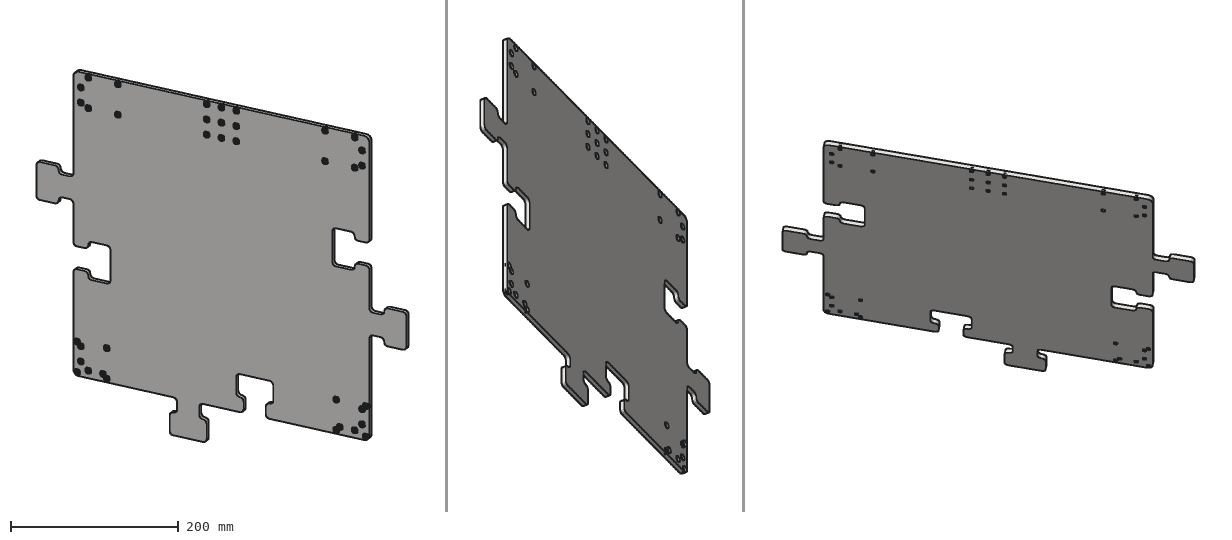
import cadquery as cq
import math

SIDE = 400.0
HALF = SIDE / 2
THICKNESS = 6.0
PLATE_CORNER_RADIUS = 7.5
JOINT_CORNER_RADIUS = 5.0
TOLERANCE = 5e-06

JOINT_DEPTH = 50.0
JOINT_OFFSET = 45.0
HEAD_WIDTH = 50.0
NECK_WIDTH = 30.0
NECK_LENGTH = 20.0

HOLE_DIAMETER = 4.5
COUNTERBORE_DIAMETER = 8.0
COUNTERBORE_DEPTH = 3.0

SIDE_PAIR = [(10, 20), (10, 40)]
TOP_CORNER_HOLES = SIDE_PAIR + [(x, z) for x in (20, 60) for z in (5, 45)]
BOTTOM_CORNER_HOLES = SIDE_PAIR + [(20, 10), (40, 10)] + [(x, z) for x in (5, 45) for z in (5, 45)]

GRID_COLUMNS = (-20, 0, 20)
GRID_TOP_DISTANCES = (5, 25, 45)


def joint_points(centre, direction):
    """Joint corners as (place along the edge, height above it).

    The direction is 1 for a tab and -1 for a socket.
    """
    neck = NECK_WIDTH / 2
    head = HEAD_WIDTH / 2
    step = direction * NECK_LENGTH
    end = direction * JOINT_DEPTH
    half = [(neck, 0), (neck, step), (head, step), (head, end)]
    points = [(centre - along, height) for along, height in half]
    points += [(centre + along, height) for along, height in reversed(half)]
    return points


def edge_points(tab_centre, socket_centre):
    """One plate edge carrying both joints, listed in order along the edge."""
    joints = [(tab_centre, 1), (socket_centre, -1)]
    points = []
    for centre, direction in sorted(joints):
        points += joint_points(centre, direction)
    return points


def plate_corners():
    """Sharp outline as (point, rounding radius), clockwise in (x, z) from the bottom left."""
    left = [(-HALF - out, z) for z, out in edge_points(JOINT_OFFSET, -JOINT_OFFSET)]
    right = [(HALF + out, z) for z, out in edge_points(-JOINT_OFFSET, JOINT_OFFSET)]
    bottom = [(x, -HALF - out) for x, out in edge_points(-JOINT_OFFSET, JOINT_OFFSET)]
    sides = [
        ((-HALF, -HALF), left),
        ((-HALF, HALF), []),
        ((HALF, HALF), right[::-1]),
        ((HALF, -HALF), bottom[::-1]),
    ]
    corners = []
    for plate_corner, joints in sides:
        corners.append((plate_corner, PLATE_CORNER_RADIUS))
        corners += [(point, JOINT_CORNER_RADIUS) for point in joints]
    return corners


def hole_places():
    """All hole centres in (x, z)."""
    places = [(x, HALF - depth) for x in GRID_COLUMNS for depth in GRID_TOP_DISTANCES]
    for side in (-1, 1):
        places += [(side * (HALF - x), HALF - z) for x, z in TOP_CORNER_HOLES]
        places += [(side * (HALF - x), z - HALF) for x, z in BOTTOM_CORNER_HOLES]
    return places


def shifted(start, target, distance):
    """The point reached from start by moving a distance straight toward target."""
    fraction = distance / math.dist(start, target)
    return tuple(s + fraction * (t - s) for s, t in zip(start, target))


def rounded_polygon(workplane, corners):
    """Closed outline through right-angled corners given as (point, radius)."""
    first_point, first_radius = corners[0]
    outline = workplane.moveTo(*shifted(first_point, corners[-1][0], first_radius))
    for i, (corner, radius) in enumerate(corners):
        after, after_radius = corners[(i + 1) % len(corners)]
        arc_start = shifted(corner, corners[i - 1][0], radius)
        arc_end = shifted(corner, after, radius)
        chord_middle = [(s + e) / 2 for s, e in zip(arc_start, arc_end)]
        corner_gap = radius * (math.sqrt(2) - 1)
        outline = outline.threePointArc(shifted(corner, chord_middle, corner_gap), arc_end)
        if math.dist(corner, after) > radius + after_radius + TOLERANCE:
            outline = outline.lineTo(*shifted(after, corner, after_radius))
    return outline.close()


plate = rounded_polygon(cq.Workplane("XZ"), plate_corners()).extrude(THICKNESS)

front_face = cq.Workplane("XZ", origin=(0, -THICKNESS, 0))
result = (
    plate.copyWorkplane(front_face)
    .pushPoints(hole_places())
    .cboreHole(HOLE_DIAMETER, COUNTERBORE_DIAMETER, COUNTERBORE_DEPTH)
)